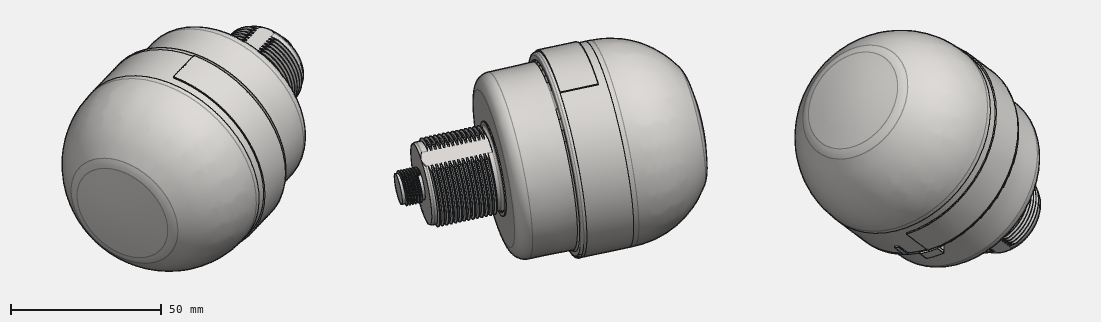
import cadquery as cq
import math

total_length = 103.5

lens_radius = 35.0
lens_back_y = 32.0
dome_start_y = 30.2
dome_end_radius = 20.7
corner_radius = 10.0
nose_radius = 17.6
nose_depth = 2.2

collar_back_y = 48.0
bar_center_x = -8.7
bar_width = 1.7
bar_length = 5.7
bar_height = 0.5

label_thickness = 0.5
label_length = 13.1

flange_back_y = 49.9
flange_round = 0.8
drum_foot_fillet = 0.6
drum_foot_radius = 32.0
drum_top_radius = 31.7
drum_back_y = 70.7
drum_round = 5.0
tab_half_width = 3.9
tab_outer_radius = 35.7
tab_front_y = 48.5
tab_back_y = 52.4
tab_inner_gap = 0.2
tab_chamfer = 0.5

washer_radius = 16.1
washer_thickness = 0.4
washer_back_y = drum_back_y + washer_thickness
stem_root_radius = 14.1
stem_foot_fillet = 0.8
stem_end_y = 95.6
stem_chamfer = 0.9
stem_chamfer_depth = 0.3
flat_half_distance = 13.8
stem_crest_radius = 15.0
stem_pitch = 1.5
stem_thread_start_y = 72.6
stem_thread_turns = 14

connector_root_radius = 5.3
connector_crest_radius = 6.0
connector_pitch = 1.0
connector_thread_start_y = 96.2
connector_thread_turns = 6.5

crest_width_ratio = 0.1
root_width_ratio = 0.75
thread_overlap = 0.1


def cylinder(radius, y_start, y_end):
    """Round bar along Y."""
    start_plane = cq.Plane(origin=(0, y_start, 0), xDir=(0, 0, 1), normal=(0, 1, 0))
    return cq.Workplane(start_plane).circle(radius).extrude(y_end - y_start)


def revolve_about_y(profile):
    """Full turn of a closed (radius, Y) profile about the Y axis."""
    return profile.close().revolve(360, (0, 0, 0), (0, 1, 0))


def box(x_start, x_end, y_start, y_end, z_start, z_end):
    return cq.Workplane("XY").box(
        x_end - x_start, y_end - y_start, z_end - z_start, centered=False
    ).translate((x_start, y_start, z_start))


def thread_ridge(root_radius, crest_radius, pitch, turns, y_start):
    """Right-handed helical ridge along +Y, starting on the +Z side."""
    inner_radius = root_radius - thread_overlap
    half_root = root_width_ratio * pitch / 2
    half_crest = crest_width_ratio * pitch / 2
    helix = cq.Wire.makeHelix(pitch, turns * pitch, inner_radius)
    ridge = (
        cq.Workplane("XZ")
        .polyline([
            (inner_radius, -half_root),
            (crest_radius, -half_crest),
            (crest_radius, half_crest),
            (inner_radius, half_root),
        ])
        .close()
        .sweep(cq.Workplane(obj=helix), isFrenet=True)
    )
    start_plane = cq.Plane(origin=(0, y_start, 0), xDir=(0, 0, 1), normal=(0, 1, 0))
    return cq.Workplane(obj=ridge.val().moved(cq.Location(start_plane)))


def arc_point(center, radius, angle):
    """Point on a lens arc; the angle turns from the radial direction towards the nose."""
    return (center[0] + radius * math.cos(angle), center[1] - radius * math.sin(angle))


def make_lens():
    sphere_radius = (nose_radius**2 + nose_depth**2) / (2 * nose_depth)
    nose_angle = math.acos(nose_radius / sphere_radius)
    corner_center = (
        nose_radius - corner_radius * math.cos(nose_angle),
        nose_depth + corner_radius * math.sin(nose_angle),
    )
    dome_angle = math.acos((dome_end_radius - corner_center[0]) / corner_radius)
    dome_end = arc_point(corner_center, corner_radius, dome_angle)
    drop = dome_start_y - dome_end[1]
    narrowing = lens_radius - dome_end_radius
    dome_radius = (drop**2 + narrowing**2) / (2 * narrowing)
    dome_center = (lens_radius - dome_radius, dome_start_y)
    dome_middle_angle = math.asin(drop / dome_radius) / 2
    sphere_center = (0, sphere_radius)
    profile = (
        cq.Workplane("ZY")
        .moveTo(0, lens_back_y)
        .lineTo(lens_radius, lens_back_y)
        .lineTo(lens_radius, dome_start_y)
        .threePointArc(arc_point(dome_center, dome_radius, dome_middle_angle), dome_end)
        .threePointArc(
            arc_point(corner_center, corner_radius, (dome_angle + nose_angle) / 2),
            (nose_radius, nose_depth),
        )
        .threePointArc(
            arc_point(sphere_center, sphere_radius, (nose_angle + math.pi / 2) / 2),
            (0, 0),
        )
    )
    return revolve_about_y(profile)


def make_collar():
    collar = cylinder(lens_radius, lens_back_y, collar_back_y)
    bar_half = bar_width / 2
    bar = cylinder(lens_radius + bar_height, collar_back_y - bar_length, collar_back_y).intersect(
        box(bar_center_x - bar_half, bar_center_x + bar_half, 0, total_length, -2 * lens_radius, 0)
    )
    return collar.union(bar)


def make_label():
    label_front_y = collar_back_y - label_length
    outer_radius = lens_radius + label_thickness
    sleeve = cylinder(outer_radius, label_front_y, collar_back_y).cut(
        cylinder(lens_radius, label_front_y, collar_back_y)
    )
    half_space = box(0, 2 * outer_radius, 0, total_length, -2 * outer_radius, 2 * outer_radius)
    return sleeve.intersect(half_space)


def make_drum():
    """Round flange, drafted drum with a filleted foot, and washer."""
    flange = cylinder(lens_radius, collar_back_y, flange_back_y).faces(">Y").edges().fillet(flange_round)
    profile = (
        cq.Workplane("ZY")
        .moveTo(0, collar_back_y)
        .lineTo(drum_foot_radius, collar_back_y)
        .lineTo(drum_foot_radius, flange_back_y)
        .lineTo(drum_top_radius, drum_back_y)
        .lineTo(0, drum_back_y)
    )
    drum = revolve_about_y(profile).faces(">Y").edges().fillet(drum_round)
    margin = drum_foot_fillet / 2
    reach = drum_foot_radius + margin
    around_foot = cq.selectors.BoxSelector(
        (-reach, flange_back_y - margin, -reach),
        (reach, flange_back_y + margin, reach),
        boundingbox=True,
    )
    housing = flange.union(drum).edges(around_foot).fillet(drum_foot_fillet)
    washer = cylinder(washer_radius, drum_back_y, washer_back_y)
    return housing.union(washer)


def make_tab():
    """Release tab under the flange, chamfered along its sides and back corners."""
    inner_radius = drum_foot_radius + tab_inner_gap
    ring = cylinder(tab_outer_radius, tab_front_y, tab_back_y).cut(
        cylinder(inner_radius, tab_front_y, tab_back_y)
    )
    strip = box(
        -tab_half_width, tab_half_width, tab_front_y, tab_back_y, -2 * tab_outer_radius, 0
    )
    tab = ring.intersect(strip)
    tab = tab.edges("|Y").edges("<Z").chamfer(tab_chamfer)
    return tab.faces("<X or >X").edges(">Y").chamfer(tab_chamfer)


def make_stem():
    """Chamfered bar with a filleted foot, two flats and the thread between them."""
    foot_radius = stem_root_radius + stem_foot_fillet
    foot_back_y = washer_back_y + stem_foot_fillet
    to_arc_middle = stem_foot_fillet * math.sqrt(0.5)
    profile = (
        cq.Workplane("ZY")
        .moveTo(0, drum_back_y)
        .lineTo(foot_radius, drum_back_y)
        .lineTo(foot_radius, washer_back_y)
        .threePointArc(
            (foot_radius - to_arc_middle, foot_back_y - to_arc_middle),
            (stem_root_radius, foot_back_y),
        )
        .lineTo(stem_root_radius, stem_end_y - stem_chamfer)
        .lineTo(stem_root_radius - stem_chamfer_depth, stem_end_y)
        .lineTo(0, stem_end_y)
    )
    far = 2 * stem_crest_radius
    across_flats = box(
        -far, far, foot_back_y, total_length, -flat_half_distance, flat_half_distance
    )
    foot = cylinder(far, drum_back_y, foot_back_y)
    core = revolve_about_y(profile).intersect(across_flats.union(foot))
    half_turn = thread_ridge(
        stem_root_radius, stem_crest_radius, stem_pitch, 0.5, stem_thread_start_y
    ).intersect(across_flats)
    y_axis = cq.Vector(0, 1, 0)
    ridges = [
        half_turn.val().rotate(cq.Vector(), y_axis, 180 * step).translate(y_axis * (step * stem_pitch / 2))
        for step in range(2 * stem_thread_turns)
    ]
    return cq.Workplane(obj=core.val().fuse(*ridges))


def make_base():
    return make_drum().union(make_tab()).union(make_stem())


def make_connector():
    core = cylinder(connector_root_radius, stem_end_y, total_length)
    ridge = thread_ridge(
        connector_root_radius,
        connector_crest_radius,
        connector_pitch,
        connector_thread_turns,
        connector_thread_start_y,
    )
    return core.union(ridge)


lens = make_lens()
collar = make_collar()
label = make_label()
base = make_base()
connector = make_connector()

result = cq.Compound.makeCompound(
    [body.solids().val() for body in (lens, collar, label, base, connector)]
)